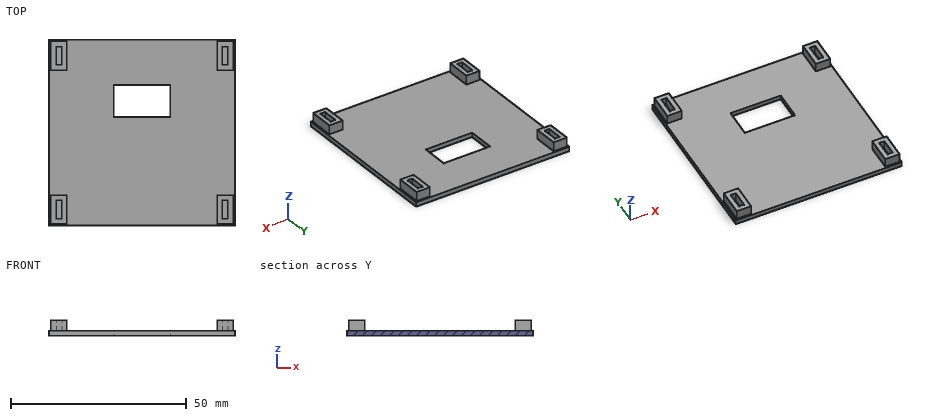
import cadquery as cq

plate_side = 53.0
plate_thickness = 1.5

slot_width = 1.6
slot_length = 5.2
block_wall = 1.5
block_width = slot_width + 2 * block_wall
block_length = slot_length + 2 * block_wall
block_height = 3.0
block_edge_gap = 0.5

window_width = 16.0
window_height = 9.0
window_top_margin = 13.0

block_x = plate_side / 2 - block_edge_gap - block_width / 2
block_y = plate_side / 2 - block_edge_gap - block_length / 2
window_y = plate_side / 2 - window_top_margin - window_height / 2


def upright_box(width, length, height, x=0.0, y=0.0, base_z=0.0):
    """Box centred on (x, y) and standing on the height base_z."""
    return cq.Workplane("XY").box(width, length, height, centered=(True, True, False)).translate((x, y, base_z))


def make_plate():
    """Square plate with the window cut through it."""
    plate = upright_box(plate_side, plate_side, plate_thickness)
    window = upright_box(window_width, window_height, plate_thickness, y=window_y)
    return plate.cut(window)


def make_block(x, y):
    """Corner block whose slot reaches down to the top of the plate."""
    block = upright_box(block_width, block_length, block_height, x, y, plate_thickness)
    slot = upright_box(slot_width, slot_length, block_height, x, y, plate_thickness)
    return block.cut(slot)


result = make_plate()
for side_x in (-1, 1):
    for side_y in (-1, 1):
        result = result.union(make_block(side_x * block_x, side_y * block_y))